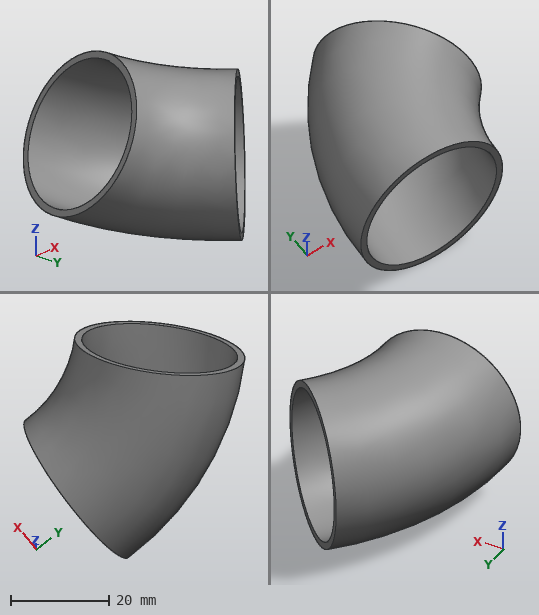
import cadquery as cq
import math

bend_angle = 45.0
bend_height = 44.2
outer_diameter = 35.0
wall = 1.5

outer_radius = outer_diameter / 2
inner_radius = outer_radius - wall
bend_radius = bend_height / math.sin(math.radians(bend_angle)) - outer_radius

tube_section = cq.Workplane("XZ").circle(outer_radius).circle(inner_radius)

axis_start = (bend_radius, 0)
axis_end = (bend_radius, -1)
result = tube_section.revolve(bend_angle, axis_start, axis_end)